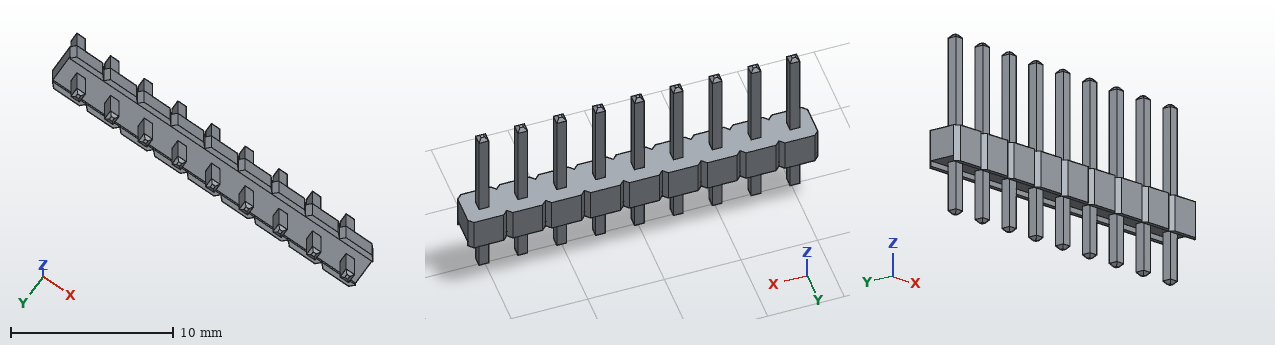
import cadquery as cq

pin_count = 9
strip_length = 22.85
strip_depth = 2.5
total_height = 11.55

body_height = 2.3
corner_chamfer = 0.3
channel_width = 1.83
channel_height = 0.35

pin_width = 0.65
pin_below_body = 3.0
tip_height = 0.23
tip_inset = 0.2

pitch = strip_length / pin_count
pin_bottom = -total_height / 2
body_bottom = pin_bottom + pin_below_body
pin_positions = [((i - (pin_count - 1) / 2) * pitch, 0) for i in range(pin_count)]


def make_body():
    """Row of chamfered blocks with a channel running along the underside."""
    block = (
        cq.Workplane("XY")
        .box(pitch, strip_depth, body_height, centered=(True, True, False))
        .edges("|Z")
        .chamfer(corner_chamfer)
    )
    blocks = (
        cq.Workplane("XY", origin=(0, 0, body_bottom))
        .pushPoints(pin_positions)
        .eachpoint(lambda location: block.val().located(location), combine=True)
    )
    channel = cq.Workplane("XY", origin=(0, 0, body_bottom)).box(
        strip_length, channel_width, channel_height, centered=(True, True, False)
    )
    return blocks.cut(channel)


def make_pins():
    """Square pins that pass through the body, tapered at both ends."""
    pin = (
        cq.Workplane("XY")
        .box(pin_width, pin_width, total_height, centered=(True, True, False))
        .faces("<Z or >Z")
        .chamfer(tip_height, tip_inset)
    )
    return (
        cq.Workplane("XY", origin=(0, 0, pin_bottom))
        .pushPoints(pin_positions)
        .eachpoint(lambda location: pin.val().located(location), combine=True)
    )


result = make_body().union(make_pins())